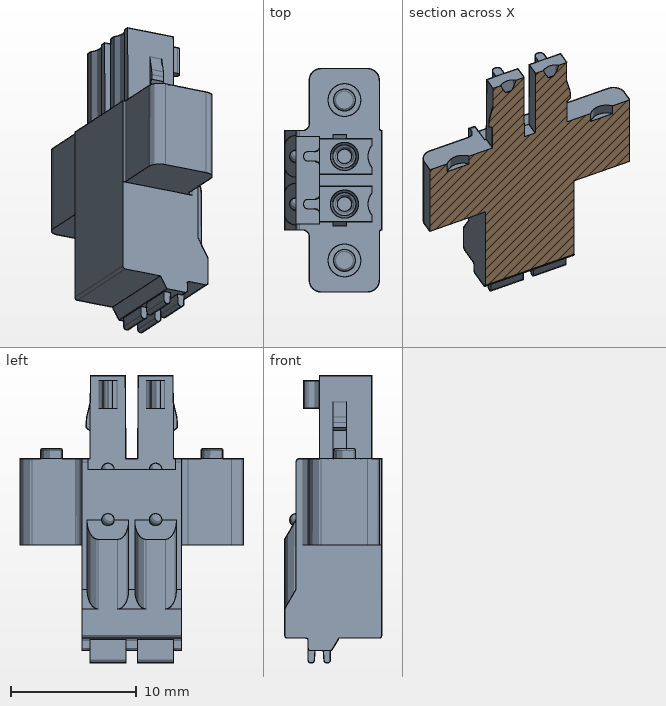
import cadquery as cq
import math


sides = (-1, 1)

total_height = 22.9
body_top = 16.28
body_bottom = 1.97
flange_bottom = 9.4
tab_bottom = 0.98

body_depth = 7.75
body_width = 7.95
front_face_x = 0.9
rib_slope = math.tan(math.radians(60))
ledge_low = 4.3
ledge_high = ledge_low + front_face_x * rib_slope
top_edge_radius = 0.27
bottom_edge_radius = 0.23

tab_front_x = 1.88
tab_back_x = 3.73
tab_slope_end_x = 4.33
tab_radius = 0.18

pole_pitch = 3.8
pole_axis_x = 4.76

rib_width = 3.32
rib_radius = 0.882
rib_crest_top = 9.85
rib_root_top = rib_crest_top + front_face_x * rib_slope

flange_length = 17.82
flange_front_x = 1.95
flange_back_x = 7.55
flange_corner_radius = 0.96
flange_root_radius = 0.5
flange_back_root_radius = 0.149

screw_offset = 6.4
screw_radius = 0.87
screw_top = 17.08
screw_edge_radius = 0.15
counterbore_radius = 1.3
counterbore_depth = 0.87

tower_front_x = 2.77
tower_back_x = 6.95
tower_top_width = 2.8
tower_foot_width = 2.89
recess_floor = 15.41
recess_width = 6.96
scallop_width = 1.75
scallop_depth = 0.3

socket_mouth_radius = 1.12
socket_floor_radius = 0.92
socket_depth = 1.0
countersink_radius = 0.7
countersink_depth = 0.11
seat_radius = 0.57
seat_depth = 0.11

key_front_x = 1.5
key_nose_flat = 0.07
key_radius = 0.35
key_bottom = 20.3
key_height = 2.2

latch_front_x = 3.85
latch_width = 1.08
latch_top = 20.85
latch_slope_end = 19.6
latch_shoulder_end = 19.17
latch_hook_bottom = 18.75
latch_bottom = 18.5
latch_slope_y = 3.6
latch_outer_y = 3.65

ball_radius = 0.5

pin_proud = 0.02
pin_root_width = 0.57
pin_tip_width = 0.5
pin_gap = 0.65
pin_tip_radius = 0.23


def body():
    block = (
        cq.Workplane("XZ")
        .moveTo(front_face_x, body_top)
        .lineTo(body_depth, body_top)
        .lineTo(body_depth, body_bottom)
        .lineTo(tab_slope_end_x, body_bottom)
        .lineTo(tab_back_x, tab_bottom)
        .lineTo(tab_front_x, tab_bottom)
        .lineTo(tab_front_x, body_bottom)
        .lineTo(0, body_bottom)
        .lineTo(0, ledge_low)
        .lineTo(front_face_x, ledge_high)
        .close()
        .extrude(body_width / 2, both=True)
    )

    def edge_at(x, z):
        return cq.selectors.NearestToPointSelector((x, 0, z))

    rounded_edges = (
        (front_face_x, body_top, top_edge_radius),
        (0, body_bottom, bottom_edge_radius),
        (body_depth, body_bottom, bottom_edge_radius),
        (tab_front_x, body_bottom, tab_radius),
        (tab_front_x, tab_bottom, tab_radius),
    )
    for x, z, radius in rounded_edges:
        block = block.edges("|Y").edges(edge_at(x, z)).fillet(radius)
    return block


def flanges():
    """Both screw flanges as one rounded plate running through the body."""
    depth = flange_back_x - flange_front_x
    return (
        cq.Workplane("XY", origin=(flange_front_x + depth / 2, 0, flange_bottom))
        .rect(depth, flange_length)
        .extrude(body_top - flange_bottom)
        .edges("|Z")
        .fillet(flange_corner_radius)
    )


def flange_root(side, flange_x, outward, radius):
    """Concave blend between a flange face and the side of the body."""
    body_y = side * body_width / 2
    return (
        cq.Workplane("XY", origin=(0, 0, flange_bottom))
        .moveTo(flange_x, body_y)
        .lineTo(flange_x, body_y + side * radius)
        .radiusArc((flange_x + outward * radius, body_y), -side * outward * radius)
        .close()
        .extrude(body_top - flange_bottom)
    )


def counterbore(side):
    return (
        cq.Workplane("XY", origin=(pole_axis_x, side * screw_offset, body_top - counterbore_depth))
        .circle(counterbore_radius)
        .extrude(counterbore_depth)
    )


def screw(side):
    """Screw tip standing in its counterbore."""
    bottom = body_top - counterbore_depth
    return (
        cq.Workplane("XY", origin=(pole_axis_x, side * screw_offset, bottom))
        .circle(screw_radius)
        .extrude(screw_top - bottom)
        .faces(">Z")
        .edges()
        .fillet(screw_edge_radius)
    )


def front_recess():
    """Step cut into the upper front edge, ending at the tower faces."""
    return (
        cq.Workplane("XY", origin=(tower_front_x / 2, 0, recess_floor))
        .rect(tower_front_x, recess_width)
        .extrude(body_top - recess_floor)
    )


def rib(y):
    """Rounded cable rib with a sloped top, ending in the sloped ledge."""
    bar = (
        cq.Workplane("XY", origin=(0, y, ledge_low))
        .rect(2 * front_face_x, rib_width)
        .extrude(rib_root_top - ledge_low)
        .intersect(
            cq.Workplane("XZ")
            .moveTo(0, ledge_low)
            .lineTo(0, rib_crest_top)
            .lineTo(front_face_x, rib_root_top)
            .lineTo(front_face_x, ledge_low)
            .close()
            .extrude(body_width, both=True)
        )
    )
    return bar.edges("|Z and <X").fillet(rib_radius)


def tower(y):
    """Contact tower, slightly wider at its foot, scalloped along the back."""
    block = (
        cq.Workplane("YZ", origin=(tower_front_x, y, 0))
        .moveTo(-tower_foot_width / 2, recess_floor)
        .lineTo(tower_foot_width / 2, recess_floor)
        .lineTo(tower_top_width / 2, total_height)
        .lineTo(-tower_top_width / 2, total_height)
        .close()
        .extrude(tower_back_x - tower_front_x)
    )
    scallop = (
        cq.Workplane("XY", origin=(tower_back_x, y, body_top))
        .moveTo(0, -scallop_width / 2)
        .threePointArc((-scallop_depth, 0), (0, scallop_width / 2))
        .close()
        .extrude(total_height - body_top)
    )
    return block.cut(scallop)


def socket(y):
    """Tapered socket with a countersunk seat at its floor."""
    socket_floor = total_height - socket_depth
    countersink_floor = socket_floor - countersink_depth
    seat_floor = countersink_floor - seat_depth
    return (
        cq.Workplane("XZ", origin=(pole_axis_x, y, 0))
        .moveTo(0, total_height)
        .lineTo(socket_mouth_radius, total_height)
        .lineTo(socket_floor_radius, socket_floor)
        .lineTo(countersink_radius, countersink_floor)
        .lineTo(seat_radius, seat_floor)
        .lineTo(0, seat_floor)
        .close()
        .revolve(360, (0, 0, 0), (0, 1, 0))
    )


def coding_key(y):
    """Key with rounded nose corners and concave blends where it meets the tower."""
    half_flat = key_nose_flat / 2
    half_width = half_flat + key_radius
    return (
        cq.Workplane("XY", origin=(0, y, key_bottom))
        .moveTo(tower_front_x, -half_width - key_radius)
        .radiusArc((tower_front_x - key_radius, -half_width), -key_radius)
        .lineTo(key_front_x + key_radius, -half_width)
        .radiusArc((key_front_x, -half_flat), key_radius)
        .lineTo(key_front_x, half_flat)
        .radiusArc((key_front_x + key_radius, half_width), key_radius)
        .lineTo(tower_front_x - key_radius, half_width)
        .radiusArc((tower_front_x, half_width + key_radius), -key_radius)
        .close()
        .extrude(key_height)
    )


def latch(side):
    """Latch hook and its arm on the outer side of a tower."""
    arm_y = (pole_pitch + tower_foot_width) / 2
    root_y = pole_pitch / 2 + socket_mouth_radius
    tower_y = (pole_pitch + tower_top_width) / 2
    profile = (
        (root_y, latch_top),
        (tower_y, latch_top),
        (latch_slope_y, latch_slope_end),
        (latch_outer_y, latch_shoulder_end),
        (latch_outer_y, latch_hook_bottom),
        (arm_y, latch_bottom),
        (arm_y, recess_floor),
        (root_y, recess_floor),
    )
    return (
        cq.Workplane("YZ", origin=(latch_front_x, 0, 0))
        .polyline([(side * y, z) for y, z in profile])
        .close()
        .extrude(latch_width)
    )


def ball(x, y, z):
    return cq.Workplane("XY", origin=(x, y, z)).sphere(ball_radius)


def pin_leg(y, outer_x, inward):
    """One leg of a contact pin, tapered on its inner face and rounded at the tip."""
    return (
        cq.Workplane("XZ", origin=(outer_x, y, 0))
        .moveTo(0, body_bottom)
        .lineTo(0, 0)
        .lineTo(inward * pin_tip_width, 0)
        .lineTo(inward * pin_root_width, tab_bottom)
        .lineTo(inward * pin_root_width, body_bottom)
        .close()
        .extrude(tower_foot_width / 2, both=True)
        .edges("|Y and <Z")
        .fillet(pin_tip_radius)
    )


pin_front_x = tab_front_x - pin_proud
pin_back_x = pin_front_x + 2 * pin_root_width + pin_gap
poles = [side * pole_pitch / 2 for side in sides]

result = body().union(flanges())
for side in sides:
    result = result.union(flange_root(side, flange_front_x, -1, flange_root_radius))
    result = result.union(flange_root(side, flange_back_x, 1, flange_back_root_radius))
    result = result.cut(counterbore(side)).union(screw(side))
result = result.cut(front_recess())
for y in poles:
    result = result.union(rib(y))
    result = result.union(tower(y).cut(socket(y))).union(coding_key(y))
    result = result.union(ball(front_face_x, y, rib_root_top))
    result = result.union(ball(tower_front_x, y, recess_floor))
    result = result.union(pin_leg(y, pin_front_x, 1)).union(pin_leg(y, pin_back_x, -1))
for side in sides:
    result = result.union(latch(side))